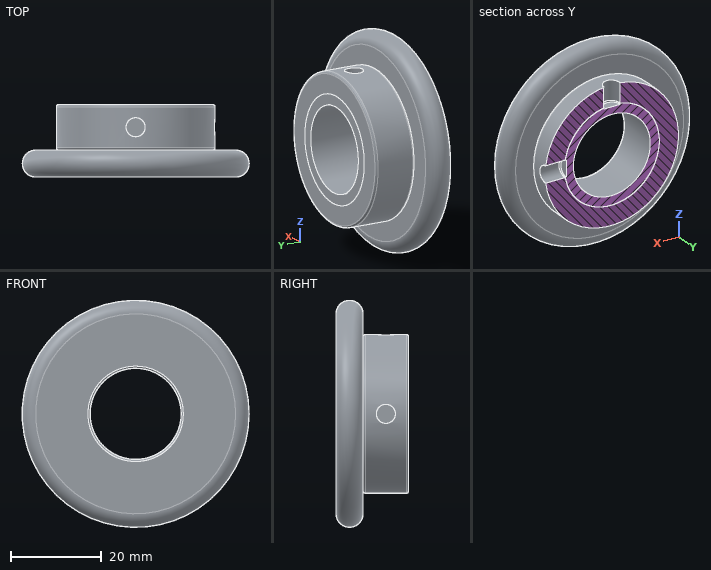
import cadquery as cq

disc_radius = 25.0
disc_thickness = 6.0
rim_radius = disc_thickness / 2
bore_radius = 10.0
bore_chamfer = 0.5

sleeve_wall = 2.5
sleeve_radius = bore_radius + sleeve_wall

collar_radius = 17.5
collar_length = 10.0
collar_rounding = 0.5
collar_end = disc_thickness + collar_length

screw_hole_radius = 2.1
screw_hole_y = disc_thickness + collar_length / 2
screw_seat_depth = 0.5
screw_seat_height = sleeve_radius - screw_seat_depth
screw_directions = [cq.Vector(0, 0, 1), cq.Vector(1, 0, 0)]


def make_screw_holes():
    """Flat-bottomed cylinders reaching from the seats out to the collar's surface."""
    hole_length = collar_radius - screw_seat_height
    holes = cq.Workplane()
    for direction in screw_directions:
        seat_center = cq.Vector(0, screw_hole_y, 0) + direction * screw_seat_height
        holes = holes.add(cq.Solid.makeCylinder(screw_hole_radius, hole_length, seat_center, direction))
    return holes.combine()


def make_flange(screw_holes):
    """Disc with a full-round rim and a sleeve behind it, turned as one piece."""
    flat_radius = disc_radius - rim_radius
    turned = (
        cq.Workplane("XY")
        .moveTo(bore_radius + bore_chamfer, 0)
        .lineTo(flat_radius, 0)
        .threePointArc((disc_radius, rim_radius), (flat_radius, disc_thickness))
        .lineTo(sleeve_radius, disc_thickness)
        .lineTo(sleeve_radius, collar_end)
        .lineTo(bore_radius, collar_end)
        .lineTo(bore_radius, bore_chamfer)
        .close()
        .revolve(360, (0, 0, 0), (0, 1, 0))
    )
    return turned.cut(screw_holes)


def make_collar(screw_holes):
    """Ring with both outer edges rounded and radial screw holes."""
    disc_back = cq.Workplane("XZ", origin=(0, disc_thickness, 0))
    blank = disc_back.circle(collar_radius).extrude(-collar_length)
    rounded = blank.edges("%CIRCLE").fillet(collar_rounding)
    sleeve_hole = disc_back.circle(sleeve_radius).extrude(-collar_length)
    return rounded.cut(sleeve_hole).cut(screw_holes)


screw_holes = make_screw_holes()
flange = make_flange(screw_holes)
collar = make_collar(screw_holes)

result = cq.Compound.makeCompound([flange.solids().val(), collar.solids().val()])